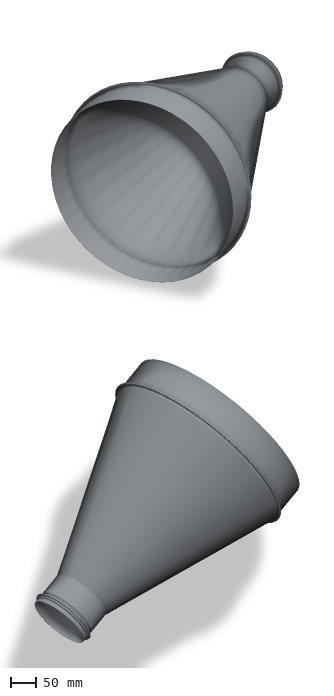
import cadquery as cq

TOTAL_LENGTH = 525.0
SHEET = 0.65

COLLAR_INNER_DIAMETER = 400.5
COLLAR_FLANGE_DIAMETER = 415.5
COLLAR_LENGTH = 70.0
FLANGE_THICKNESS = 1.0

MOUTH_INNER_DIAMETER = 399.0
MOUTH_FLANGE_DIAMETER = 414.5
MOUTH_LENGTH = 6.0
NECK_START = 451.5
NECK_LENGTH = 8.0

BORE_DIAMETER = 123.0
GROOVE_BORE_DIAMETER = 119.0
GROOVE_START = 503.5
SHOULDER_LENGTH = 3.5
BEAD_WIDTH = 5.0
BEAD_ROUNDING = 1.5

GASKET_START = 509.5
GASKET_BASE_DIAMETER = 123.0
REAR_LIP_DIAMETER = 134.5
REAR_LIP_THICKNESS = 1.5
FRONT_LIP_DIAMETER = 129.5
FRONT_LIP_OFFSET = 4.5
FRONT_LIP_RISE = 1.5
FRONT_LIP_THICKNESS = 1.0

collar_outer_diameter = COLLAR_INNER_DIAMETER + 2 * SHEET
mouth_outer_diameter = MOUTH_INNER_DIAMETER + 2 * SHEET
tube_diameter = BORE_DIAMETER + 2 * SHEET
groove_diameter = GROOVE_BORE_DIAMETER + 2 * SHEET
neck_end = NECK_START + NECK_LENGTH
bead_start = TOTAL_LENGTH - BEAD_WIDTH


def at(diameter, y):
    """Point of a half section at the given diameter and axial position."""
    return (diameter / 2, y)


def revolve(half_section):
    """Turn a closed half section into a ring about the Y axis."""
    return half_section.revolve(360, (0, 0, 0), (0, 1, 0))


def revolve_outline(points):
    return revolve(cq.Workplane("XY").polyline(points).close())


def make_collar():
    """Wide tube with a thin flange turned out at the joint."""
    flange_rear = COLLAR_LENGTH - FLANGE_THICKNESS
    return revolve_outline([
        at(COLLAR_INNER_DIAMETER, 0),
        at(collar_outer_diameter, 0),
        at(collar_outer_diameter, flange_rear),
        at(COLLAR_FLANGE_DIAMETER, flange_rear),
        at(COLLAR_FLANGE_DIAMETER, COLLAR_LENGTH),
        at(COLLAR_INNER_DIAMETER, COLLAR_LENGTH),
    ])


def make_cone():
    """Sheet cone with a flanged mouth band and a straight neck."""
    flange_front = COLLAR_LENGTH + FLANGE_THICKNESS
    mouth_end = COLLAR_LENGTH + MOUTH_LENGTH
    return revolve_outline([
        at(MOUTH_INNER_DIAMETER, COLLAR_LENGTH),
        at(MOUTH_FLANGE_DIAMETER, COLLAR_LENGTH),
        at(MOUTH_FLANGE_DIAMETER, flange_front),
        at(mouth_outer_diameter, flange_front),
        at(mouth_outer_diameter, mouth_end),
        at(tube_diameter, NECK_START),
        at(tube_diameter, neck_end),
        at(BORE_DIAMETER, neck_end),
        at(BORE_DIAMETER, NECK_START),
        at(MOUTH_INNER_DIAMETER, mouth_end),
    ])


def make_nipple():
    """Tube that narrows through an S-bend to the gasket groove and ends in a rounded bead."""
    shoulder_start = GROOVE_START - SHOULDER_LENGTH
    shoulder_middle = GROOVE_START - SHOULDER_LENGTH / 2
    middle_diameter = (tube_diameter + groove_diameter) / 2
    middle_bore_diameter = (BORE_DIAMETER + GROOVE_BORE_DIAMETER) / 2
    half_section = (
        cq.Workplane("XY")
        .moveTo(*at(BORE_DIAMETER, neck_end))
        .lineTo(*at(tube_diameter, neck_end))
        .lineTo(*at(tube_diameter, shoulder_start))
        .tangentArcPoint(at(middle_diameter, shoulder_middle), relative=False)
        .tangentArcPoint(at(groove_diameter, GROOVE_START), relative=False)
        .lineTo(*at(groove_diameter, bead_start))
        .lineTo(*at(tube_diameter, bead_start))
        .lineTo(*at(tube_diameter, TOTAL_LENGTH - BEAD_ROUNDING))
        .tangentArcPoint(at(tube_diameter - 2 * BEAD_ROUNDING, TOTAL_LENGTH), relative=False)
        .lineTo(*at(GROOVE_BORE_DIAMETER, TOTAL_LENGTH))
        .lineTo(*at(GROOVE_BORE_DIAMETER, GROOVE_START))
        .tangentArcPoint(at(middle_bore_diameter, shoulder_middle), relative=False)
        .tangentArcPoint(at(BORE_DIAMETER, shoulder_start), relative=False)
        .close()
    )
    return revolve(half_section)


def make_gasket():
    """Ring with a flat rear lip and a swept-back front lip."""
    rear_lip_front = GASKET_START + REAR_LIP_THICKNESS
    lip_tip = GASKET_START + FRONT_LIP_OFFSET
    lip_root = lip_tip + FRONT_LIP_RISE
    return revolve_outline([
        at(groove_diameter, GASKET_START),
        at(REAR_LIP_DIAMETER, GASKET_START),
        at(REAR_LIP_DIAMETER, rear_lip_front),
        at(GASKET_BASE_DIAMETER, rear_lip_front),
        at(GASKET_BASE_DIAMETER, lip_root),
        at(FRONT_LIP_DIAMETER, lip_tip),
        at(FRONT_LIP_DIAMETER, lip_tip + FRONT_LIP_THICKNESS),
        at(GASKET_BASE_DIAMETER, lip_root + FRONT_LIP_THICKNESS),
        at(GASKET_BASE_DIAMETER, bead_start),
        at(groove_diameter, bead_start),
    ])


collar = make_collar()
cone = make_cone()
nipple = make_nipple()
gasket = make_gasket()

result = cq.Compound.makeCompound([collar.val(), cone.val(), nipple.val(), gasket.val()])